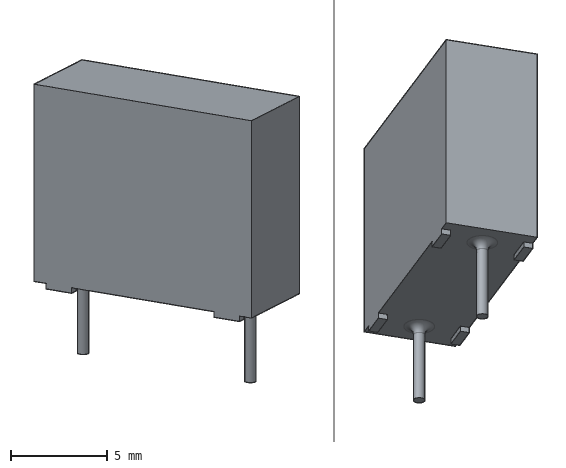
import cadquery as cq

body_length = 13.0
body_width = 5.0
total_height = 15.0

foot_length = 1.53
foot_width = 0.5
foot_height = 0.3
foot_end_inset = 0.72

lead_diameter = 0.6
lead_pitch = 10.0
lead_below_feet = 4.0
flare_radius = 0.5

underside_z = lead_below_feet + foot_height
body_height = total_height - underside_z
lead_radius = lead_diameter / 2


def make_body():
    """Plain rectangular case."""
    return (
        cq.Workplane("XY")
        .workplane(offset=underside_z)
        .rect(body_length, body_width)
        .extrude(body_height)
    )


def make_feet():
    """Four feet flush with the long side faces, inset from the ends."""
    foot_spacing_x = body_length - 2 * foot_end_inset - foot_length
    foot_spacing_y = body_width - foot_width
    return (
        cq.Workplane("XY")
        .workplane(offset=underside_z)
        .rarray(foot_spacing_x, foot_spacing_y, 2, 2)
        .rect(foot_length, foot_width)
        .extrude(-foot_height)
    )


def make_lead(x):
    """Round lead that flares out concavely where it meets the underside."""
    flare_top_radius = lead_radius + flare_radius
    flare_bottom_z = underside_z - flare_radius
    half_profile = (
        cq.Workplane("XZ")
        .lineTo(lead_radius, 0)
        .lineTo(lead_radius, flare_bottom_z)
        .tangentArcPoint((flare_top_radius, underside_z), relative=False)
        .lineTo(0, underside_z)
        .close()
    )
    return half_profile.revolve(360, (0, 0, 0), (0, 1, 0)).translate((x, 0, 0))


result = make_body().union(make_feet())
for side in (-1, 1):
    result = result.union(make_lead(side * lead_pitch / 2))